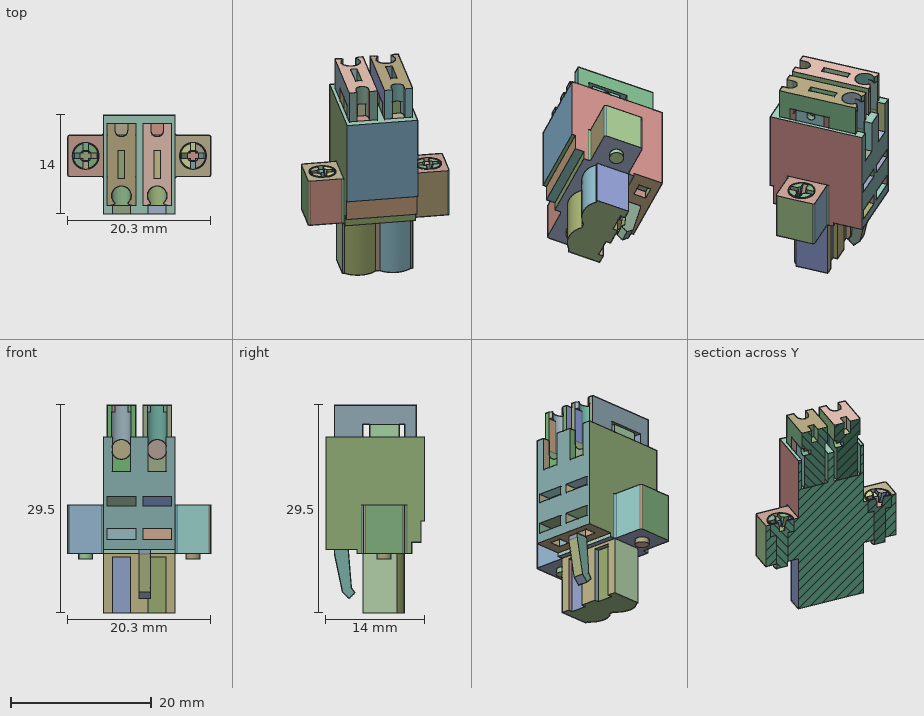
import cadquery as cq
import math


pitch = 5.07
pole_places = [-pitch / 2, pitch / 2]
total_height = 29.5
total_width = 20.33
screw_places = [-1.5 * pitch, 1.5 * pitch]

housing_width = 10.18
housing_depth = 14.0
housing_top = 25.0
front_bottom = 9.0
base_bottom = 8.45
base_front = 4.4
rear_step_depths = [12.18, 13.5]
rear_step_heights = [10.03, 13.05]

flange_front = 5.3
flange_depth = 5.87
flange_top = 15.37
flange_corner_radius = 0.3
flange_root_radius = 0.3

plug_front = 5.25
plug_back = 10.12
ridge_width = 4.42
ridge_rise = 1.0
keyway_width = pitch / 2
keyway_depth = 0.7
keyway_top = 7.96

latch_left = -0.05
latch_width = 1.62
latch_outline = [
    (1.2, front_bottom),
    (1.2, 8.38),
    (2.33, 3.0),
    (3.27, 2.06),
    (4.13, 2.9),
    (3.63, 3.57),
    (3.2, front_bottom),
]

lever_width = 4.07
lever_front = 1.2
lever_back = 12.83
lever_bottom = 20.12
wire_hole_diameter = 2.8
wire_hole_height = 23.22
wire_hole_back = 4.0
driver_hole_diameter = 2.75
driver_hole_place = 2.6
throat_width = 1.83
lip_height = 1.0
lip_chamfer_width = 0.45
lip_chamfer_depth = 0.27
window_front = 5.25
window_back = 11.18
window_top = 26.8
tongue_front = 6.2
tongue_back = 10.4
tongue_recess = 0.4
dimple_diameter = 1.2
dimple_depth = 1.0
dimple_place = 8.2
dimple_height = 25.95
top_slot_width = 0.9
top_slot_front = 5.05
top_slot_back = 9.0
top_slot_depth = 2.0
probe_notch_width = 1.8
probe_notch_length = 1.85

wire_notch_width = pitch / 2
pocket_depth = 2.9
upper_pocket_floor = 15.22
upper_pocket_top = 16.52
upper_pocket_wall_angle = 35.0
lower_pocket_floor = 10.47
lower_pocket_top = 12.0
floor_hole_size = 1.8

head_diameter = 3.8
head_height = 2.0
head_chamfer = 0.12
shank_diameter = 2.0
shank_bottom = 7.67
drive_width = 0.77
slot_depth = 0.6
drive_depth = 1.5
long_arm_reach = 1.6
long_arm_floor_reach = 0.77
short_arm_reach = 0.88
short_arm_floor_reach = 0.65
pit_diameter = 1.65
pit_floor_diameter = 1.05

screw_y = flange_front + flange_depth / 2


def block(x_middle, width, y_range, z_range):
    """Box centred on x_middle, between two Y values and two Z values."""
    size_y = y_range[1] - y_range[0]
    size_z = z_range[1] - z_range[0]
    box = cq.Workplane("XY").box(width, size_y, size_z, centered=(True, False, False))
    return box.translate((x_middle, y_range[0], z_range[0]))


def side_prism(x_middle, width, outline):
    """Closed (Y, Z) outline extruded along X, centred on x_middle."""
    prism = cq.Workplane("YZ").polyline(outline).close().extrude(width / 2, both=True)
    return prism.translate((x_middle, 0, 0))


def upright_cylinder(x, y, diameter, z_range):
    disc = cq.Workplane("XY", origin=(x, y, z_range[0])).circle(diameter / 2)
    return disc.extrude(z_range[1] - z_range[0])


def housing_shell():
    outline = [
        (0, front_bottom),
        (base_front, front_bottom),
        (base_front, base_bottom),
        (rear_step_depths[0], base_bottom),
        (rear_step_depths[0], rear_step_heights[0]),
        (rear_step_depths[1], rear_step_heights[0]),
        (rear_step_depths[1], rear_step_heights[1]),
        (housing_depth, rear_step_heights[1]),
        (housing_depth, housing_top),
        (0, housing_top),
    ]
    return side_prism(0, housing_width, outline)


def flanges():
    """One bar across the housing, rounded at its outer corners and flared where it meets the sides."""
    z_range = (base_bottom, flange_top)
    flange_back = flange_front + flange_depth
    bar = block(0, total_width, (flange_front, flange_back), z_range)
    bar = bar.edges("|Z").fillet(flange_corner_radius)
    radius = flange_root_radius
    flare_range = (flange_front - radius, flange_back + radius)
    flare = block(0, housing_width + 2 * radius, flare_range, z_range)
    for side in (-1, 1):
        for y in flare_range:
            x = side * (housing_width / 2 + radius)
            flare = flare.cut(upright_cylinder(x, y, 2 * radius, z_range))
    return bar.union(flare)


def plug():
    """Lower block with a rounded ridge per pole at the back and a keyway per pole at the front."""
    body = block(0, housing_width, (plug_front, plug_back), (0, base_bottom))
    for x in pole_places:
        ridge = (
            cq.Workplane("XY")
            .moveTo(x - ridge_width / 2, plug_back)
            .threePointArc((x, plug_back + ridge_rise), (x + ridge_width / 2, plug_back))
            .close()
            .extrude(base_bottom)
        )
        keyway = block(x, keyway_width, (plug_front, plug_front + keyway_depth), (0, keyway_top))
        body = body.union(ridge).cut(keyway)
    return body


def latch():
    """Springy hook hanging from the underside of the front part."""
    return side_prism(latch_left + latch_width / 2, latch_width, latch_outline)


def pole_openings(x):
    """Everything cut out of the housing for the pole at x."""
    lever_pocket = block(x, lever_width, (lever_front, lever_back), (lever_bottom, housing_top))
    wire_notch = block(x, wire_notch_width, (0, lever_front), (lever_bottom, housing_top))
    wall_lean = (upper_pocket_top - upper_pocket_floor) * math.tan(math.radians(upper_pocket_wall_angle))
    upper_pocket_outline = [
        (0, upper_pocket_floor),
        (pocket_depth, upper_pocket_floor),
        (pocket_depth - wall_lean, upper_pocket_top),
        (0, upper_pocket_top),
    ]
    upper_pocket = side_prism(x, lever_width, upper_pocket_outline)
    lower_pocket = block(x, lever_width, (0, pocket_depth), (lower_pocket_floor, lower_pocket_top))
    hole_range = (pocket_depth - floor_hole_size, pocket_depth)
    floor_hole = block(x, floor_hole_size, hole_range, (front_bottom, lower_pocket_floor))
    return [lever_pocket, wire_notch, upper_pocket, lower_pocket, floor_hole]


def make_housing():
    housing = housing_shell().union(flanges()).union(plug()).union(latch())
    for x in pole_places:
        for opening in pole_openings(x):
            housing = housing.cut(opening)
    for x in screw_places:
        housing = housing.cut(screw_blank(x))
    return housing


def wire_passage(x):
    """Horizontal wire hole met by an upright hole that opens to the front, with two snap lips on top."""
    lip_bottom = total_height - lip_height
    driver_radius = driver_hole_diameter / 2
    wire_hole = (
        cq.Workplane("XZ", origin=(x, lever_front, wire_hole_height))
        .circle(wire_hole_diameter / 2)
        .extrude(lever_front - wire_hole_back)
    )
    channel = (
        cq.Workplane("XY", origin=(x, driver_hole_place, wire_hole_height))
        .moveTo(driver_radius, 0)
        .threePointArc((0, driver_radius), (-driver_radius, 0))
        .lineTo(-driver_radius, lever_front - driver_hole_place)
        .lineTo(driver_radius, lever_front - driver_hole_place)
        .close()
        .extrude(lip_bottom - wire_hole_height)
    )
    lip_range = (lip_bottom, total_height)
    top_hole = upright_cylinder(x, driver_hole_place, driver_hole_diameter, lip_range)
    throat = block(x, throat_width, (lever_front, driver_hole_place), lip_range)
    flared_half_width = throat_width / 2 + lip_chamfer_width
    lead_in = (
        cq.Workplane("XY", origin=(x, lever_front, lip_bottom))
        .polyline([
            (-flared_half_width, 0),
            (flared_half_width, 0),
            (throat_width / 2, lip_chamfer_depth),
            (-throat_width / 2, lip_chamfer_depth),
        ])
        .close()
        .extrude(lip_height)
    )
    return wire_hole.union(channel).union(top_hole).union(throat).union(lead_in)


def window(x):
    """Opening through the lever that leaves a narrower tongue hanging in its middle."""
    z_range = (lever_bottom, window_top)
    opening = block(x, lever_width, (window_front, window_back), z_range)
    tongue_width = lever_width - 2 * tongue_recess
    tongue = block(x, tongue_width, (tongue_front, tongue_back), z_range)
    dimple = (
        cq.Workplane("YZ", origin=(x - tongue_width / 2, dimple_place, dimple_height))
        .circle(dimple_diameter / 2)
        .extrude(dimple_depth)
    )
    return opening.cut(tongue.cut(dimple))


def probe_notch(x):
    """Round-ended notch in the rear edge, running down to the level of the housing top."""
    radius = probe_notch_width / 2
    middle = lever_back - probe_notch_length + radius
    z_range = (housing_top, total_height)
    round_end = upright_cylinder(x, middle, probe_notch_width, z_range)
    return round_end.union(block(x, probe_notch_width, (middle, lever_back), z_range))


def make_lever(x):
    lever = block(x, lever_width, (lever_front, lever_back), (lever_bottom, total_height))
    top_slot = block(
        x, top_slot_width, (top_slot_front, top_slot_back), (total_height - top_slot_depth, total_height)
    )
    return lever.cut(wire_passage(x)).cut(window(x)).cut(top_slot).cut(probe_notch(x))


def screw_blank(x):
    """Plain screw without chamfer or drive; it is also the shape of the hole for the screw."""
    head = upright_cylinder(x, screw_y, head_diameter, (flange_top - head_height, flange_top))
    shank = upright_cylinder(x, screw_y, shank_diameter, (shank_bottom, flange_top))
    return head.union(shank)


def drive_arms(x, top_reach, floor_reach):
    """Pair of arms along X whose ends slope inwards from the top to the floor of the drive."""
    outline = [
        (-top_reach, 0),
        (top_reach, 0),
        (floor_reach, -drive_depth),
        (-floor_reach, -drive_depth),
    ]
    arms = cq.Workplane("XZ").polyline(outline).close().extrude(drive_width / 2, both=True)
    return arms.translate((x, screw_y, flange_top))


def screw_drive(x):
    """Straight slot along Y, long arms along X, short arms along Y and a conical pit in the middle."""
    slot_range = (screw_y - head_diameter / 2, screw_y + head_diameter / 2)
    slot = block(x, drive_width, slot_range, (flange_top - slot_depth, flange_top))
    long_arms = drive_arms(x, long_arm_reach, long_arm_floor_reach)
    short_arms = drive_arms(x, short_arm_reach, short_arm_floor_reach)
    short_arms = short_arms.rotate((x, screw_y, 0), (x, screw_y, 1), 90)
    cone = cq.Solid.makeCone(
        pit_floor_diameter / 2,
        pit_diameter / 2,
        drive_depth,
        pnt=cq.Vector(x, screw_y, flange_top - drive_depth),
    )
    return slot.union(long_arms).union(short_arms).union(cq.Workplane(cone))


def make_screw(x):
    screw = screw_blank(x).faces(">Z").edges().chamfer(head_chamfer)
    return screw.cut(screw_drive(x))


housing = make_housing()
levers = [make_lever(x) for x in pole_places]
screws = [make_screw(x) for x in screw_places]

result = cq.Compound.makeCompound([
    housing.val(),
    *[lever.val() for lever in levers],
    *[screw.val() for screw in screws],
])